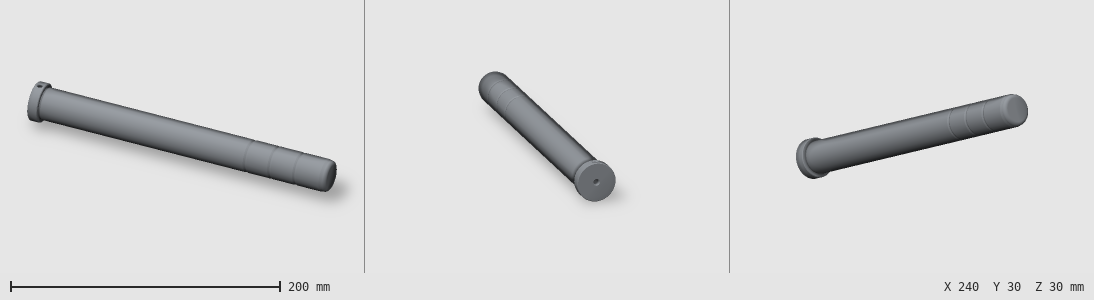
import cadquery as cq

length = 240.0
head_radius = 30.0 / 2
head_length = 8.0
head_chamfer = 0.5
shank_radius = 25.0 / 2

relief_end = 9.4
relief_radius = 12.0

groove_centers = [175.0, 194.6, 214.8]
groove_half_width = 1.5
groove_depth = 0.5

taper_start = 235.0
taper_end_radius = 12.0
nose_radius = 3.0

hole_radius = 2.0
hole_depth = 5.8
drill_point_depth = 1.2
countersink_radius = 2.6
countersink_depth = 0.7
rim_hole_x = head_length / 2


def make_body():
    """Revolve the half profile about the X axis."""
    profile = (
        cq.Workplane("XY")
        .lineTo(0, head_radius - head_chamfer)
        .lineTo(head_chamfer, head_radius)
        .lineTo(head_length - head_chamfer, head_radius)
        .lineTo(head_length, head_radius - head_chamfer)
        .lineTo(head_length, relief_radius)
        .lineTo(relief_end, relief_radius)
        .lineTo(relief_end, shank_radius)
    )
    for center in groove_centers:
        profile = (
            profile
            .lineTo(center - groove_half_width, shank_radius)
            .lineTo(center, shank_radius - groove_depth)
            .lineTo(center + groove_half_width, shank_radius)
        )
    return (
        profile
        .lineTo(taper_start, shank_radius)
        .lineTo(length - nose_radius, taper_end_radius)
        .radiusArc((length, taper_end_radius - nose_radius), nose_radius)
        .lineTo(length, 0)
        .close()
        .revolve(360, (0, 0, 0), (1, 0, 0))
    )


def center_hole(mouth, direction):
    """Countersunk blind drilled hole running from its mouth along direction."""
    bore = cq.Solid.makeCylinder(hole_radius, hole_depth, mouth, direction)
    countersink = cq.Solid.makeCone(
        countersink_radius, hole_radius, countersink_depth, mouth, direction
    )
    drill_point = cq.Solid.makeCone(
        hole_radius, 0, drill_point_depth, mouth + direction * hole_depth, direction
    )
    return bore.fuse(countersink, drill_point)


face_hole = center_hole(cq.Vector(0, 0, 0), cq.Vector(1, 0, 0))
rim_hole = center_hole(cq.Vector(rim_hole_x, 0, head_radius), cq.Vector(0, 0, -1))

result = make_body().cut(face_hole).cut(rim_hole)